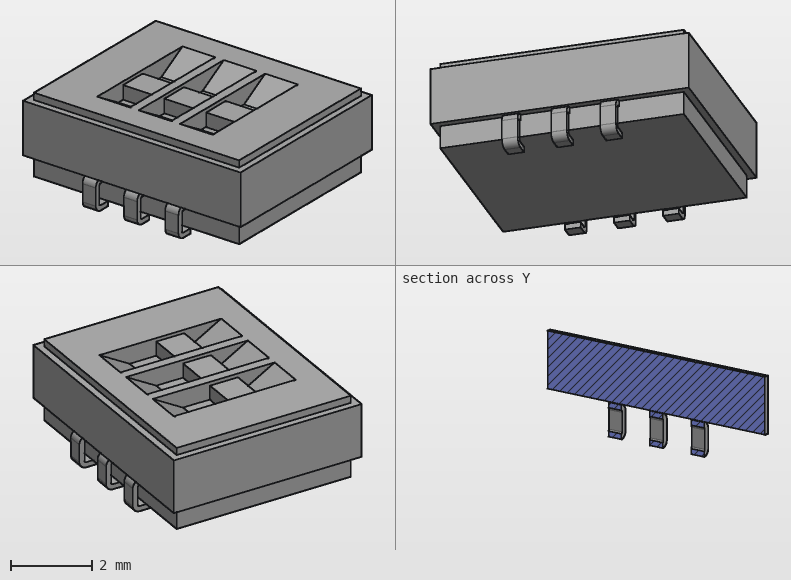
import cadquery as cq

total_height = 2.6
housing_top = 2.4
housing_bottom = 0.9
base_bottom = 0.3

housing_length = 6.68
housing_width = 5.4
step_length = 6.3
step_width = 5.0

switch_count = 3
switch_pitch = 1.27
pocket_length = 3.5
pocket_width = 1.0
pocket_depth = 0.5
pocket_slope_run = 0.87

knob_pitch = 1.28
knob_length = 0.8
knob_width = pocket_width
knob_height = 0.4
knob_center_y = -0.29

lead_width = 0.41
lead_span = 5.5
lead_thickness = 0.15
lead_outer_radius = 0.2
lead_inner_radius = lead_outer_radius - lead_thickness
lead_foot_length = 0.5
lead_root_depth = 0.07


def row_positions(pitch):
    """X positions of one row of switches, centred on the housing."""
    return [(i - (switch_count - 1) / 2) * pitch for i in range(switch_count)]


def block(length, width, bottom, top):
    """A box centred in X and Y between two heights."""
    return cq.Workplane("XY").workplane(offset=bottom).rect(length, width).extrude(top - bottom)


def across_x(outline, center_x, width):
    """Extrude a closed YZ outline symmetrically about center_x."""
    return outline.extrude(width / 2, both=True).translate((center_x, 0, 0))


def pocket(center_x):
    """A cutter with sloped ends and a flat floor."""
    top_y = pocket_length / 2
    floor_y = top_y - pocket_slope_run
    floor_z = total_height - pocket_depth
    outline = cq.Workplane("YZ").polyline([
        (-top_y, total_height),
        (top_y, total_height),
        (floor_y, floor_z),
        (-floor_y, floor_z),
    ]).close()
    return across_x(outline, center_x, pocket_width)


def knob(center_x):
    """A rectangular slider rising from the pocket floor."""
    floor_z = total_height - pocket_depth
    slider = block(knob_width, knob_length, floor_z, floor_z + knob_height)
    return slider.translate((center_x, knob_center_y, 0))


def lead(center_x):
    """The +Y lead: out of the base, down its side, and inward along the ground."""
    outer_y = lead_span / 2
    root_y = step_width / 2 - lead_root_depth
    foot_y = outer_y - lead_foot_length
    inner_y = outer_y - lead_thickness
    outer_bend_y = outer_y - lead_outer_radius
    outline = (
        cq.Workplane("YZ")
        .moveTo(root_y, housing_bottom)
        .lineTo(outer_bend_y, housing_bottom)
        .radiusArc((outer_y, housing_bottom - lead_outer_radius), lead_outer_radius)
        .lineTo(outer_y, lead_outer_radius)
        .radiusArc((outer_bend_y, 0), lead_outer_radius)
        .lineTo(foot_y, 0)
        .lineTo(foot_y, lead_thickness)
        .lineTo(outer_bend_y, lead_thickness)
        .radiusArc((inner_y, lead_outer_radius), -lead_inner_radius)
        .lineTo(inner_y, housing_bottom - lead_outer_radius)
        .radiusArc((outer_bend_y, housing_bottom - lead_thickness), -lead_inner_radius)
        .lineTo(root_y, housing_bottom - lead_thickness)
        .close()
    )
    return across_x(outline, center_x, lead_width)


result = block(housing_length, housing_width, housing_bottom, housing_top)
result = result.union(block(step_length, step_width, base_bottom, total_height))

for x in row_positions(switch_pitch):
    result = result.cut(pocket(x))

for x in row_positions(knob_pitch):
    result = result.union(knob(x))

for x in row_positions(switch_pitch):
    far_lead = lead(x)
    result = result.union(far_lead).union(far_lead.mirror("XZ"))